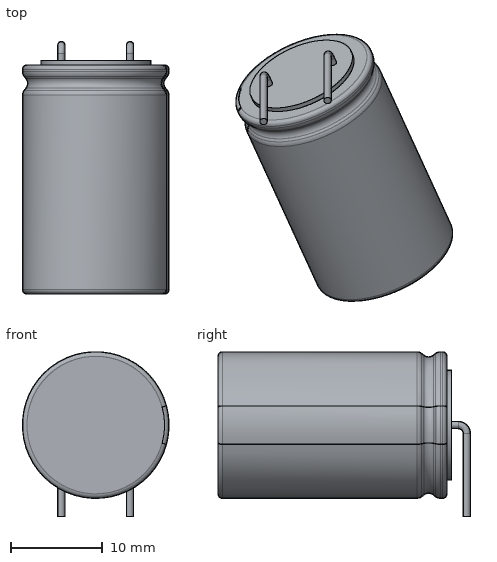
import cadquery as cq
import math


overall_length = 27.55
can_length = 25.0
can_radius = 8.003
edge_fillet = 0.5

groove_offset = 2.0
groove_depth = 0.55
groove_arc_radius = 0.83
groove_wall_angle = math.radians(38)

bung_radius = 6.0
bung_height = 0.5

lead_diameter = 0.8
lead_spacing = 7.5
lead_drop = 10.0
lead_bend_radius = 0.95

stripe_angle = 30.5
stripe_thickness = 0.1

closed_end_y = -overall_length / 2
rim_y = closed_end_y + can_length
bung_end_y = rim_y + bung_height
lead_axis_y = overall_length / 2 - lead_diameter / 2
groove_y = rim_y - groove_offset
fillet_centre_radius = can_radius - edge_fillet

groove_arc_rise = groove_arc_radius * (1 - math.cos(groove_wall_angle))
groove_arc_run = groove_arc_radius * math.sin(groove_wall_angle)
groove_slope_run = (groove_depth - 2 * groove_arc_rise) / math.tan(groove_wall_angle)
groove_half_width = 2 * groove_arc_run + groove_slope_run

crest_centre_radius = can_radius - groove_arc_radius
floor_centre_radius = can_radius - groove_depth + groove_arc_radius

axis_start = cq.Vector(0, 0, 0)
axis_end = cq.Vector(0, 1, 0)


def arc_point(centre_radius, centre_y, radius, angle):
    """Point on an arc; the angle is measured from the outward radial direction toward +Y."""
    return cq.Vector(
        centre_radius + radius * math.cos(angle),
        centre_y + radius * math.sin(angle),
    )


def arc_edge(centre_radius, centre_y, radius, start_angle, end_angle):
    middle_angle = (start_angle + end_angle) / 2
    return cq.Edge.makeThreePointArc(
        arc_point(centre_radius, centre_y, radius, start_angle),
        arc_point(centre_radius, centre_y, radius, middle_angle),
        arc_point(centre_radius, centre_y, radius, end_angle),
    )


def can_outline(inset):
    """Edges from the closed end to the rim, moved into the can by the inset.

    They run in the XY plane from fillet to fillet, without the two flat ends.
    """
    wall = groove_wall_angle
    fillet = edge_fillet - inset
    crest = groove_arc_radius - inset
    floor = groove_arc_radius + inset
    arcs = [
        arc_edge(fillet_centre_radius, closed_end_y + edge_fillet, fillet, -math.pi / 2, 0),
        arc_edge(crest_centre_radius, groove_y - groove_half_width, crest, 0, wall),
        arc_edge(floor_centre_radius, groove_y, floor, math.pi + wall, math.pi - wall),
        arc_edge(crest_centre_radius, groove_y + groove_half_width, crest, -wall, 0),
        arc_edge(fillet_centre_radius, rim_y - edge_fillet, fillet, 0, math.pi / 2),
    ]
    edges = [arcs[0]]
    for previous, following in zip(arcs, arcs[1:]):
        edges.append(cq.Edge.makeLine(previous.endPoint(), following.startPoint()))
        edges.append(following)
    return edges


def make_stripe():
    """Skin of even thickness that follows the can outline, centred on the +X side."""
    outer = can_outline(0)
    inner = can_outline(stripe_thickness)
    ends = [
        cq.Edge.makeLine(outer[0].startPoint(), inner[0].startPoint()),
        cq.Edge.makeLine(outer[-1].endPoint(), inner[-1].endPoint()),
    ]
    section = cq.Wire.combine(outer + inner + ends)[0]
    skin = cq.Solid.revolve(section, [], stripe_angle, axis_start, axis_end)
    return cq.Workplane(skin.rotate(axis_start, axis_end, -stripe_angle / 2))


def make_shell():
    outline = can_outline(0)
    corners = [
        outline[-1].endPoint(),
        cq.Vector(0, rim_y),
        cq.Vector(0, closed_end_y),
        outline[0].startPoint(),
    ]
    straight_sides = [cq.Edge.makeLine(a, b) for a, b in zip(corners, corners[1:])]
    section = cq.Wire.assembleEdges(outline + straight_sides)
    shell = cq.Solid.revolve(section, [], 360, axis_start, axis_end)
    return cq.Workplane(shell.rotate(axis_start, axis_end, -90))


def make_bung():
    return cq.Workplane("XZ", origin=(0, bung_end_y, 0)).circle(bung_radius).extrude(bung_height)


def make_lead(x):
    path = (
        cq.Workplane("YZ", origin=(x, 0, 0))
        .moveTo(bung_end_y, 0)
        .lineTo(lead_axis_y - lead_bend_radius, 0)
        .radiusArc((lead_axis_y, -lead_bend_radius), lead_bend_radius)
        .lineTo(lead_axis_y, -lead_drop)
    )
    section = cq.Workplane("XZ", origin=(x, bung_end_y, 0)).circle(lead_diameter / 2)
    return section.sweep(path)


def make_can(stripe):
    can = make_shell().union(make_bung())
    for x in (-lead_spacing / 2, lead_spacing / 2):
        can = can.union(make_lead(x))
    return can.cut(stripe).solids()


polarity_stripe = make_stripe()
can = make_can(polarity_stripe)

result = cq.Compound.makeCompound([can.val(), polarity_stripe.val()])